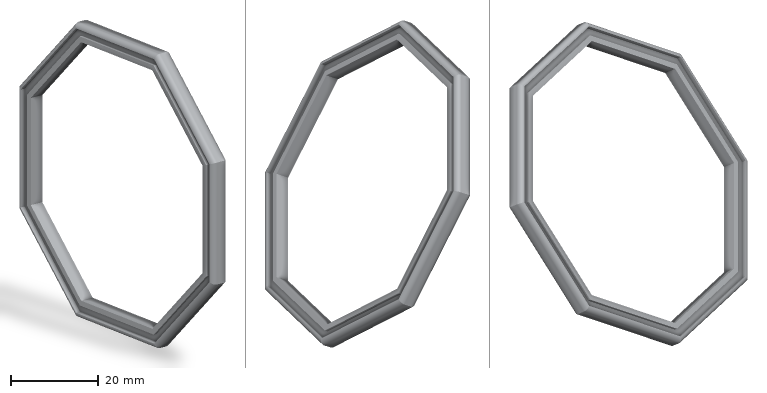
import cadquery as cq
import math

sides = 8
outer_flats = 71.2
depth = 4.4
frame_width = 4.35
edge_radius = 1.2
lip_width = 1.3
lip_recess = 0.5
groove_depth = 1.2

inner_flats = outer_flats - 2 * frame_width
lip_flats = inner_flats + 2 * lip_width
rim_flats = outer_flats - 2 * edge_radius
lip_depth = depth - 2 * lip_recess
web_depth = depth - 2 * groove_depth


def octagon_prism(across_flats, thickness):
    """Octagonal prism centred on the origin, with flats facing X and Z."""
    corner_radius = across_flats / 2 / math.cos(math.pi / sides)
    corners = []
    for i in range(sides):
        angle = (2 * i + 1) * math.pi / sides
        corners.append((corner_radius * math.cos(angle), corner_radius * math.sin(angle)))
    return cq.Workplane("XZ").polyline(corners).close().extrude(thickness / 2, both=True)


rim = octagon_prism(outer_flats, depth)
rim = rim.faces("<Y or >Y").edges().fillet(edge_radius)
rim = rim.cut(octagon_prism(rim_flats, depth))

web = octagon_prism(rim_flats, web_depth)

lip = octagon_prism(lip_flats, lip_depth)

opening = octagon_prism(inner_flats, depth)
result = rim.union(web).union(lip).cut(opening)